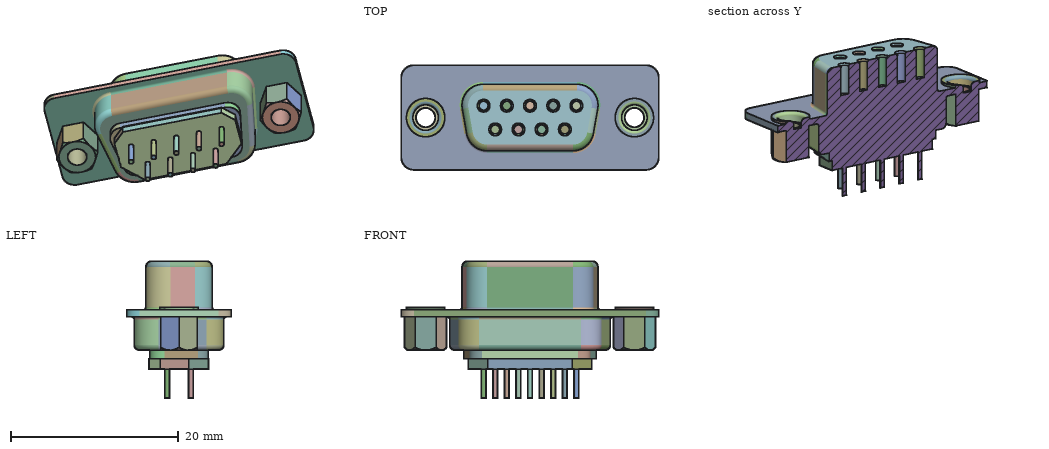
import cadquery as cq
import math


FLANGE_LENGTH = 30.8
FLANGE_WIDTH = 12.55
FLANGE_THICKNESS = 0.85
FLANGE_CORNER_RADIUS = 1.55

SIDE_ANGLE = 10.0
SHELL_CORNER_RADIUS = 2.5
SEAM_RADIUS = 0.28

FRONT_HALF_LENGTH = 8.13
FRONT_HALF_WIDTH = 3.97
FRONT_TOP = 6.7
FRONT_RIM_RADIUS = 0.75

REAR_HALF_LENGTH = 9.6
REAR_HALF_WIDTH = 5.35
REAR_DEPTH = 3.97
REAR_RIM_RADIUS = 0.65

COLLAR_HALF_LENGTH = 7.95
COLLAR_HALF_WIDTH = 3.5
COLLAR_CORNER_RADIUS = 1.5
COLLAR_HEIGHT = 1.05

BLOCK_HALF_LENGTH = 7.4
BLOCK_FRONT_Y = -3.55
BLOCK_BACK_Y = 3.6
BLOCK_FRONT_CHAMFER = 2.37
BLOCK_BACK_CHAMFER = 1.35
BLOCK_HEIGHT = 1.2

CONTACT_PITCH = 2.77
ROW_SPACING = 2.83
BACK_ROW_COUNT = 5
FRONT_ROW_COUNT = 4
PIN_DIAMETER = 0.6
PIN_LENGTH = 3.48
SOCKET_DIAMETER = 1.08
SOCKET_MOUTH_DIAMETER = 1.5
SOCKET_DEPTH = 3.7

MOUNT_X = 12.48
EYELET_DIAMETER = 4.6
EYELET_HEIGHT = 0.28
EYELET_BORE = 3.05
EYELET_LIP_RADIUS = 0.385
NUT_ACROSS_CORNERS = 5.05
NUT_HEIGHT = REAR_DEPTH
NUT_CHAMFER = 0.35
NUT_BORE = 2.28

COLLAR_BOTTOM = -REAR_DEPTH - COLLAR_HEIGHT
BLOCK_BOTTOM = COLLAR_BOTTOM - BLOCK_HEIGHT


def d_prism(half_length, half_width, corner_radius, bottom, top):
    """Prism with a rounded D outline, widest towards +Y."""
    lean = math.radians(SIDE_ANGLE)
    center_x = half_length - corner_radius
    center_y = half_width - corner_radius
    side_offset = center_x * math.cos(lean) - center_y * math.sin(lean) + corner_radius
    back_x = (side_offset + half_width * math.sin(lean)) / math.cos(lean)
    front_x = (side_offset - half_width * math.sin(lean)) / math.cos(lean)
    outline = [
        (-front_x, -half_width),
        (front_x, -half_width),
        (back_x, half_width),
        (-back_x, half_width),
    ]
    prism = cq.Workplane("XY").workplane(offset=bottom).polyline(outline).close().extrude(top - bottom)
    return prism.edges("|Z").fillet(corner_radius)


def row_points(count, y):
    """Evenly pitched contact positions centred on X = 0."""
    return [((i - (count - 1) / 2) * CONTACT_PITCH, y) for i in range(count)]


def make_flange():
    plate = cq.Workplane("XY").box(
        FLANGE_LENGTH, FLANGE_WIDTH, FLANGE_THICKNESS, centered=(True, True, False)
    )
    return plate.edges("|Z").fillet(FLANGE_CORNER_RADIUS)


def add_shells(flange):
    """Add the front and rear shells and blend both into the flange."""
    front = d_prism(FRONT_HALF_LENGTH, FRONT_HALF_WIDTH, SHELL_CORNER_RADIUS, 0, FRONT_TOP)
    front = front.faces(">Z").edges().fillet(FRONT_RIM_RADIUS)
    rear = d_prism(REAR_HALF_LENGTH, REAR_HALF_WIDTH, SHELL_CORNER_RADIUS, -REAR_DEPTH, 0)
    rear = rear.faces("<Z").edges().fillet(REAR_RIM_RADIUS)
    body = flange.union(front).union(rear)

    margin = 0.3
    seam_length = 2 * (REAR_HALF_LENGTH + margin)
    seam_width = 2 * (REAR_HALF_WIDTH + margin)
    seam_box = cq.selectors.BoxSelector(
        (-seam_length / 2, -seam_width / 2, -SEAM_RADIUS / 2),
        (seam_length / 2, seam_width / 2, FLANGE_THICKNESS + SEAM_RADIUS / 2),
        boundingbox=True,
    )
    return body.edges(seam_box).fillet(SEAM_RADIUS)


def make_pin_block():
    """Insulator block with all four vertical edges cut at 45 degrees."""
    block = (
        cq.Workplane("XY")
        .box(
            2 * BLOCK_HALF_LENGTH,
            BLOCK_BACK_Y - BLOCK_FRONT_Y,
            BLOCK_HEIGHT,
            centered=(True, False, False),
        )
        .translate((0, BLOCK_FRONT_Y, BLOCK_BOTTOM))
    )
    block = block.faces("<Y").edges("|Z").chamfer(BLOCK_FRONT_CHAMFER)
    return block.faces(">Y").edges("|Z").chamfer(BLOCK_BACK_CHAMFER)


def make_pins(points):
    return (
        cq.Workplane("XY")
        .workplane(offset=BLOCK_BOTTOM)
        .pushPoints(points)
        .circle(PIN_DIAMETER / 2)
        .extrude(-PIN_LENGTH)
    )


def cut_sockets(body, points):
    mouth_angle = 90
    return (
        body.faces(">Z")
        .workplane(origin=(0, 0, FRONT_TOP))
        .pushPoints(points)
        .cskHole(SOCKET_DIAMETER, SOCKET_MOUTH_DIAMETER, mouth_angle, SOCKET_DEPTH)
    )


def make_nut():
    """Hex standoff below the flange, corners pointing along X, lower end chamfered."""
    hexagon = cq.Workplane("XY").polygon(6, NUT_ACROSS_CORNERS).extrude(-NUT_HEIGHT)
    envelope = (
        cq.Workplane("XY")
        .circle(NUT_ACROSS_CORNERS / 2)
        .extrude(-NUT_HEIGHT)
        .faces("<Z")
        .chamfer(NUT_CHAMFER)
    )
    return hexagon.intersect(envelope)


def add_mount(body, x):
    """Add a standoff and an eyelet at x, and bore through both."""
    eyelet_top = FLANGE_THICKNESS + EYELET_HEIGHT
    eyelet = cq.Workplane("XY").circle(EYELET_DIAMETER / 2).extrude(eyelet_top)
    hardware = make_nut().union(eyelet)

    bore_radius = EYELET_BORE / 2
    lip_radius = bore_radius + EYELET_LIP_RADIUS
    lip_bottom = eyelet_top - EYELET_LIP_RADIUS
    lip_sag = EYELET_LIP_RADIUS * math.sqrt(0.5)
    bore = (
        cq.Workplane("XZ")
        .moveTo(0, -NUT_HEIGHT)
        .lineTo(NUT_BORE / 2, -NUT_HEIGHT)
        .lineTo(NUT_BORE / 2, 0)
        .lineTo(bore_radius, 0)
        .lineTo(bore_radius, lip_bottom)
        .threePointArc((lip_radius - lip_sag, lip_bottom + lip_sag), (lip_radius, eyelet_top))
        .lineTo(0, eyelet_top)
        .close()
        .revolve(360, (0, 0, 0), (0, 1, 0))
    )
    position = (x, 0, 0)
    return body.union(hardware.translate(position)).cut(bore.translate(position))


contacts = row_points(BACK_ROW_COUNT, ROW_SPACING / 2) + row_points(FRONT_ROW_COUNT, -ROW_SPACING / 2)

result = add_shells(make_flange())
result = result.union(
    d_prism(COLLAR_HALF_LENGTH, COLLAR_HALF_WIDTH, COLLAR_CORNER_RADIUS, COLLAR_BOTTOM, -REAR_DEPTH)
)
result = result.union(make_pin_block())
result = result.union(make_pins(contacts))
result = cut_sockets(result, contacts)
for mount_x in (-MOUNT_X, MOUNT_X):
    result = add_mount(result, mount_x)